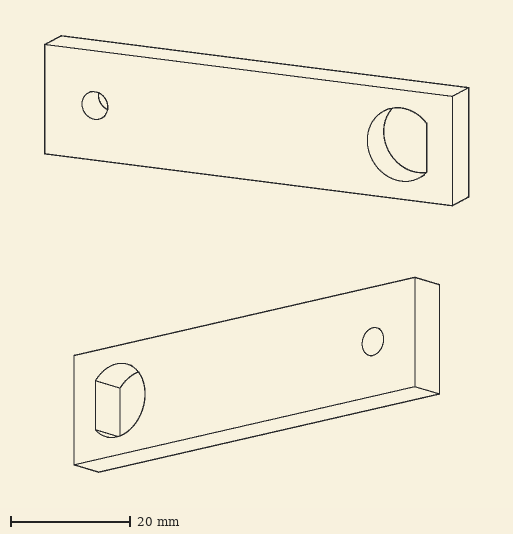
import cadquery as cq

length = 76.2
thickness = 6.3
height = 19.05

small_hole_diameter = 4.8
small_hole_from_left = 9.4

large_hole_diameter = 12.7
large_hole_from_right = 9.5
flat_from_right = 4.8

small_hole_x = small_hole_from_left - length / 2
large_hole_x = length / 2 - large_hole_from_right
flat_x = length / 2 - flat_from_right


def through_cylinder(x, diameter):
    """Cylinder along Y through the bar, at mid height."""
    return (
        cq.Workplane("XZ")
        .center(x, 0)
        .circle(diameter / 2)
        .extrude(thickness / 2, both=True)
    )


def d_shaped_cutter():
    """Cylinder kept only on the left side of a vertical flat."""
    left_edge = large_hole_x - large_hole_diameter / 2
    width = flat_x - left_edge
    kept_side = (
        cq.Workplane("XY")
        .box(width, thickness, large_hole_diameter)
        .translate((left_edge + width / 2, 0, 0))
    )
    return through_cylinder(large_hole_x, large_hole_diameter).intersect(kept_side)


bar = cq.Workplane("XY").box(length, thickness, height)
result = bar.cut(through_cylinder(small_hole_x, small_hole_diameter)).cut(d_shaped_cutter())